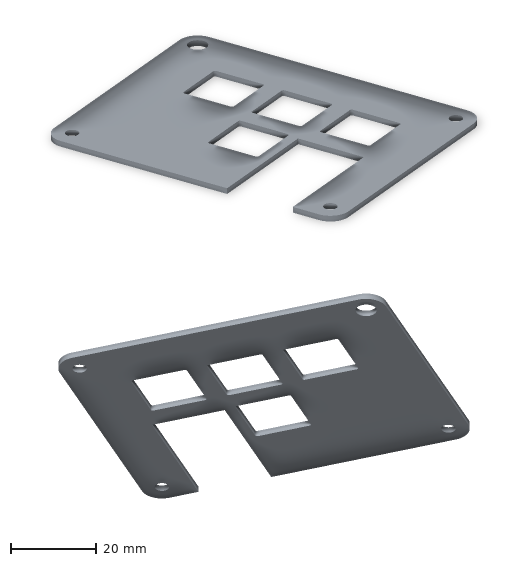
import cadquery as cq

plate_width = 82.0
plate_depth = 65.0
plate_thickness = 1.5
corner_radius = 5.0

screw_hole_diameter = 3.4
large_hole_diameter = 5.0
left_x = corner_radius
right_x = plate_width - corner_radius
front_y = corner_radius
back_y = plate_depth - corner_radius

key_size = 14.0
key_pitch = 19.05
key_corner_radius = 0.5
middle_key_x = 41.6
back_key_y = 43.8

notch_left_x = 51.4
notch_width = 18.3
notch_depth = 31.1


def make_plate():
    """Flat plate with rounded vertical corners."""
    return (
        cq.Workplane("XY")
        .box(plate_width, plate_depth, plate_thickness, centered=False)
        .edges("|Z")
        .fillet(corner_radius)
    )


def round_cutter(diameter, centers):
    """Cylinders through the plate thickness at the given centers."""
    return (
        cq.Workplane("XY")
        .pushPoints(centers)
        .circle(diameter / 2)
        .extrude(plate_thickness)
    )


def key_cutter():
    """Row of three key openings, with a fourth in front of the middle one."""
    front_key_y = back_key_y - key_pitch
    centers = [(middle_key_x + column * key_pitch, back_key_y) for column in (-1, 0, 1)]
    centers.append((middle_key_x, front_key_y))
    return (
        cq.Workplane("XY")
        .pushPoints(centers)
        .rect(key_size, key_size)
        .extrude(plate_thickness)
        .edges("|Z")
        .fillet(key_corner_radius)
    )


def notch_cutter():
    """Block that opens the notch in the front edge."""
    return (
        cq.Workplane("XY")
        .box(notch_width, notch_depth, plate_thickness, centered=False)
        .translate((notch_left_x, 0, 0))
    )


screw_hole_centers = [(left_x, front_y), (right_x, front_y), (right_x, back_y)]
large_hole_centers = [(left_x, back_y)]

result = (
    make_plate()
    .cut(round_cutter(screw_hole_diameter, screw_hole_centers))
    .cut(round_cutter(large_hole_diameter, large_hole_centers))
    .cut(key_cutter())
    .cut(notch_cutter())
)